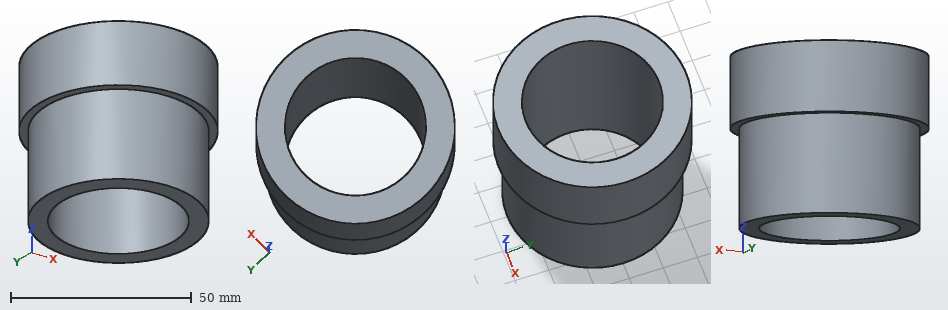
import cadquery as cq

collar_diameter = 55.0
spigot_diameter = 50.0
bore_diameter = 39.0
total_height = 48.0
collar_height = 20.0

spigot_height = total_height - collar_height

spigot = cq.Workplane("XY").circle(spigot_diameter / 2).extrude(spigot_height)

collar = (
    cq.Workplane("XY")
    .workplane(offset=spigot_height)
    .circle(collar_diameter / 2)
    .extrude(collar_height)
)

bore = cq.Workplane("XY").circle(bore_diameter / 2).extrude(total_height)

result = spigot.union(collar).cut(bore)